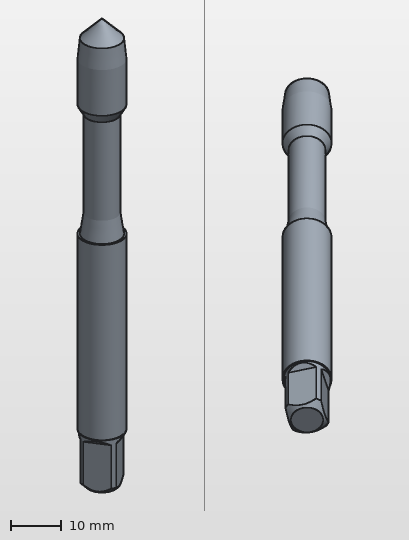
import cadquery as cq

total_length = 104.2
body_diameter = 9.7
neck_diameter = 7.3
square_diameter = 9.3
square_width = 7.3

body_radius = body_diameter / 2
neck_radius = neck_diameter / 2
square_radius = square_diameter / 2
tip_radius = 4.4
shoulder_radius = 4.4

end_chamfer = 1.5
flat_top = 11.2
shank_bottom = 12.5
shank_top = 56.2
neck_bottom = 61.0
neck_top = 83.0
head_bottom = 85.1
lead_bottom = 95.3
tip_bottom = total_length - tip_radius


def turned_body():
    """Revolve the half profile, from the bottom face up to the point."""
    profile = [
        (0, 0),
        (square_radius - end_chamfer, 0),
        (square_radius, end_chamfer),
        (square_radius, shank_bottom),
        (body_radius, shank_bottom),
        (body_radius, shank_top),
        (shoulder_radius, shank_top),
        (neck_radius, neck_bottom),
        (neck_radius, neck_top),
        (body_radius, head_bottom),
        (body_radius, lead_bottom),
        (tip_radius, tip_bottom),
        (0, total_length),
    ]
    return cq.Workplane("XZ").polyline(profile).close().revolve(360, (0, 0), (0, 1))


def flat_cutter():
    """Cutter for the flat on the +X side, with a 45 degree run-out at its top."""
    flat_offset = square_width / 2
    outside = body_diameter
    run_out = outside - flat_offset
    return (
        cq.Workplane("XZ")
        .moveTo(flat_offset, 0)
        .lineTo(outside, 0)
        .lineTo(outside, flat_top + run_out)
        .lineTo(flat_offset, flat_top)
        .close()
        .extrude(body_radius, both=True)
    )


result = turned_body()
for angle in (0, 90, 180, 270):
    result = result.cut(flat_cutter().rotate((0, 0, 0), (0, 0, 1), angle))